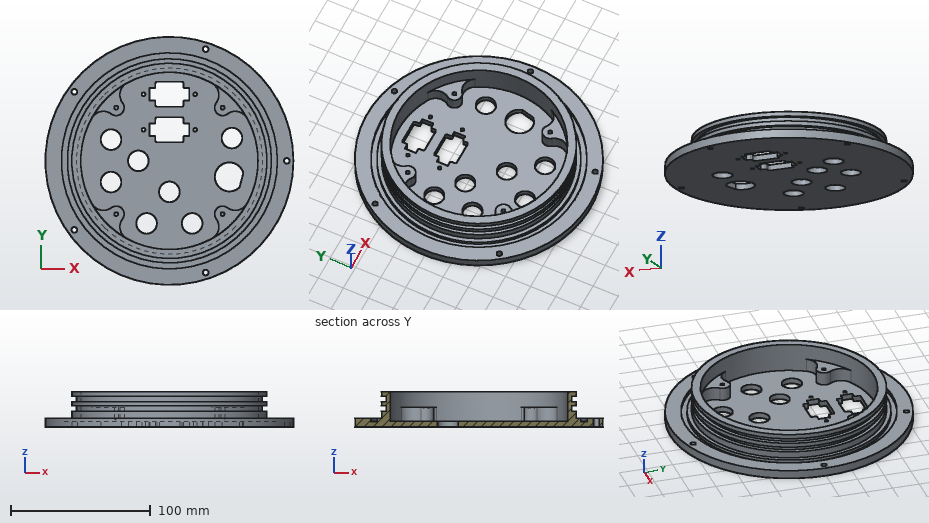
import cadquery as cq
import math

flange_radius = 88.9
flange_thickness = 6.4
flange_bolt_count = 5
flange_bolt_circle_radius = 84.1
flange_hole_radius = 2.0

face_groove_inner_radius = 73.0
face_groove_outer_radius = 77.3
face_groove_depth = 2.3

total_height = 25.5
collar_radius = 69.9
bore_radius = 63.5
floor_thickness = 4.3
seal_groove_floor_radius = 66.7
seal_groove_width = 3.7
seal_groove_bottoms = (11.4, 18.3)

boss_top = 14.0
boss_radius = 5.7
boss_circle_radius = 53.9
boss_blend_radius = 9.6
boss_angles = (45, 135, 225, 315)
screw_hole_radius = 1.5
screw_hole_depth = 8.0
screw_hole_tip_angle = 118

connector_hole_radius = 7.3
inner_ring = 22.2
middle_ring = 44.5
outer_ring = 47.7
connector_places = (
    (inner_ring, 180),
    (inner_ring, 270),
    (middle_ring, 160),
    (middle_ring, 200),
    (outer_ring, 20),
    (outer_ring, 250),
    (outer_ring, 290),
)

flatted_hole_radius = 10.3
flatted_hole_flat_distance = 8.9
flatted_hole_angle = -15

cutout_centers_y = (inner_ring, outer_ring)
cutout_wide_length = 28.5
cutout_wide_height = 8.7
cutout_tall_length = 20.0
cutout_tall_height = 17.8
cutout_corner_radius = 1.0
cutout_screw_offset = 18.5
cutout_screw_radius = 1.2


def polar(radius, angle):
    """Point at a distance from the axis and an angle in degrees."""
    return radius * math.cos(math.radians(angle)), radius * math.sin(math.radians(angle))


def cylinder(radius, bottom, top, center=(0, 0)):
    """Upright cylinder between two heights."""
    return cq.Workplane("XY", origin=(*center, bottom)).circle(radius).extrude(top - bottom)


def ring(outer_radius, inner_radius, bottom, top):
    """Ring around the part axis between two heights."""
    return cylinder(outer_radius, bottom, top).cut(cylinder(inner_radius, bottom, top))


def make_shell():
    """Flange and collar, bored down to the floor, with all seal grooves."""
    shell = cylinder(flange_radius, 0, flange_thickness)
    shell = shell.union(cylinder(collar_radius, 0, total_height))
    shell = shell.cut(cylinder(bore_radius, floor_thickness, total_height))
    shell = shell.cut(
        ring(
            face_groove_outer_radius,
            face_groove_inner_radius,
            flange_thickness - face_groove_depth,
            flange_thickness,
        )
    )
    for bottom in seal_groove_bottoms:
        shell = shell.cut(ring(flange_radius, seal_groove_floor_radius, bottom, bottom + seal_groove_width))
    return shell


def make_screw_hole():
    """Blind drilled hole in a boss on the +X axis, ending in a drill point."""
    tip_length = screw_hole_radius / math.tan(math.radians(screw_hole_tip_angle / 2))
    hole_end = boss_top - screw_hole_depth
    profile = (
        cq.Workplane("XZ")
        .moveTo(0, boss_top)
        .lineTo(screw_hole_radius, boss_top)
        .lineTo(screw_hole_radius, hole_end)
        .lineTo(0, hole_end - tip_length)
        .close()
    )
    return profile.revolve(360, (0, 0, 0), (0, 1, 0)).translate((boss_circle_radius, 0, 0))


def make_boss():
    """Boss on the +X axis: a round nose blended into the bore by two hollow arcs."""
    to_axis = bore_radius - boss_blend_radius
    to_boss = boss_radius + boss_blend_radius
    blend_x = (to_axis**2 - to_boss**2 + boss_circle_radius**2) / (2 * boss_circle_radius)
    blend_y = math.sqrt(to_axis**2 - blend_x**2)

    wall_scale = bore_radius / to_axis
    wall_x = blend_x * wall_scale
    wall_y = blend_y * wall_scale
    nose_share = boss_radius / to_boss
    nose_x = boss_circle_radius + (blend_x - boss_circle_radius) * nose_share
    nose_y = blend_y * nose_share

    chord_x = (wall_x + nose_x) / 2 - blend_x
    chord_y = (wall_y + nose_y) / 2 - blend_y
    reach = boss_blend_radius / math.hypot(chord_x, chord_y)
    hollow_x = blend_x + chord_x * reach
    hollow_y = blend_y + chord_y * reach

    return (
        cq.Workplane("XY")
        .moveTo(wall_x, wall_y)
        .threePointArc((hollow_x, hollow_y), (nose_x, nose_y))
        .threePointArc((boss_circle_radius - boss_radius, 0), (nose_x, -nose_y))
        .threePointArc((hollow_x, -hollow_y), (wall_x, -wall_y))
        .threePointArc((bore_radius, 0), (wall_x, wall_y))
        .close()
        .extrude(boss_top)
        .cut(make_screw_hole())
    )


def make_flatted_hole():
    """Round cutter with a flat on its outer side."""
    half_flat = math.sqrt(flatted_hole_radius**2 - flatted_hole_flat_distance**2)
    return (
        cq.Workplane("XY")
        .moveTo(flatted_hole_flat_distance, half_flat)
        .threePointArc((-flatted_hole_radius, 0), (flatted_hole_flat_distance, -half_flat))
        .close()
        .extrude(floor_thickness)
    )


def make_cross_cutout():
    """Cross-shaped cutter with rounded tall corners and rounded inner corners, plus two screw holes."""
    wide = cq.Workplane("XY").rect(cutout_wide_length, cutout_wide_height).extrude(floor_thickness)
    tall = cq.Workplane("XY").rect(cutout_tall_length, cutout_tall_height).extrude(floor_thickness)
    tall_sides = cq.selectors.BoxSelector(
        (-cutout_tall_length / 2 - cutout_corner_radius, -cutout_tall_height, -1.8),
        (cutout_tall_length / 2 + cutout_corner_radius, cutout_tall_height, floor_thickness + 1.8),
    )
    cutter = wide.union(tall).edges("|Z").edges(tall_sides).fillet(cutout_corner_radius)
    for side in (-1, 1):
        cutter = cutter.union(cylinder(cutout_screw_radius, 0, floor_thickness, (side * cutout_screw_offset, 0)))
    return cutter


result = make_shell()

boss = make_boss()
for angle in boss_angles:
    result = result.union(boss.rotate((0, 0, 0), (0, 0, 1), angle))

for index in range(flange_bolt_count):
    place = polar(flange_bolt_circle_radius, index * 360 / flange_bolt_count)
    result = result.cut(cylinder(flange_hole_radius, 0, flange_thickness, place))

for distance, angle in connector_places:
    result = result.cut(cylinder(connector_hole_radius, 0, floor_thickness, polar(distance, angle)))

flatted_hole = make_flatted_hole().translate((middle_ring, 0, 0))
result = result.cut(flatted_hole.rotate((0, 0, 0), (0, 0, 1), flatted_hole_angle))

cross_cutout = make_cross_cutout()
for center_y in cutout_centers_y:
    result = result.cut(cross_cutout.translate((0, center_y, 0)))